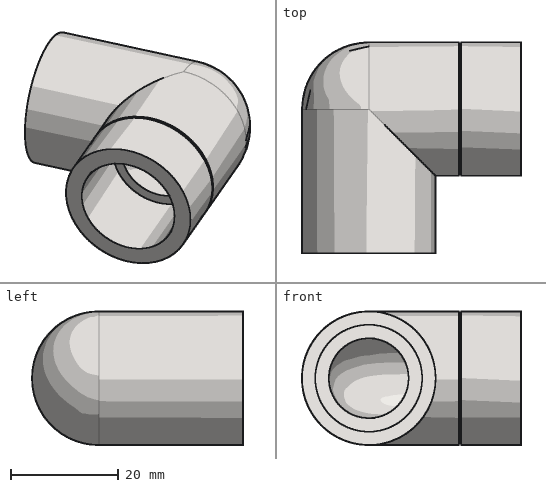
import cadquery as cq

outer_diameter = 25.0
passage_diameter = 14.92
y_socket_diameter = 20.0
x_socket_diameter = 18.6
x_end = 28.5
y_end = 26.98
groove_center = 17.05
groove_width = 0.55
groove_depth = 0.5

outer_radius = outer_diameter / 2
bend_radius = outer_radius


def cylinder_along_x(diameter, start, end):
    return cq.Workplane("YZ", origin=(start, 0, 0)).circle(diameter / 2).extrude(end - start)


def cylinder_along_minus_y(diameter, start, end):
    return cq.Workplane("XZ", origin=(0, -start, 0)).circle(diameter / 2).extrude(end - start)


def elbow_body():
    """Two perpendicular round legs joined by a ball at the corner."""
    corner = cq.Workplane("XY").sphere(outer_radius)
    x_leg = cylinder_along_x(outer_diameter, 0, x_end)
    y_leg = cylinder_along_minus_y(outer_diameter, 0, y_end)
    return x_leg.union(y_leg).union(corner)


def curved_passage():
    """Quarter-torus channel running from one socket floor to the other."""
    return (
        cq.Workplane("XZ", origin=(0, -bend_radius, 0))
        .circle(passage_diameter / 2)
        .revolve(90, (bend_radius, 0, 0), (bend_radius, -1, 0))
    )


def v_groove():
    """Ring of triangular section around the +X leg."""
    half_width = groove_width / 2
    return (
        cq.Workplane("XY")
        .moveTo(groove_center - half_width, outer_radius)
        .lineTo(groove_center, outer_radius - groove_depth)
        .lineTo(groove_center + half_width, outer_radius)
        .close()
        .revolve(360, (0, 0, 0), (1, 0, 0))
    )


x_socket = cylinder_along_x(x_socket_diameter, bend_radius, x_end)
y_socket = cylinder_along_minus_y(y_socket_diameter, bend_radius, y_end)

result = elbow_body().cut(curved_passage()).cut(x_socket).cut(y_socket).cut(v_groove())